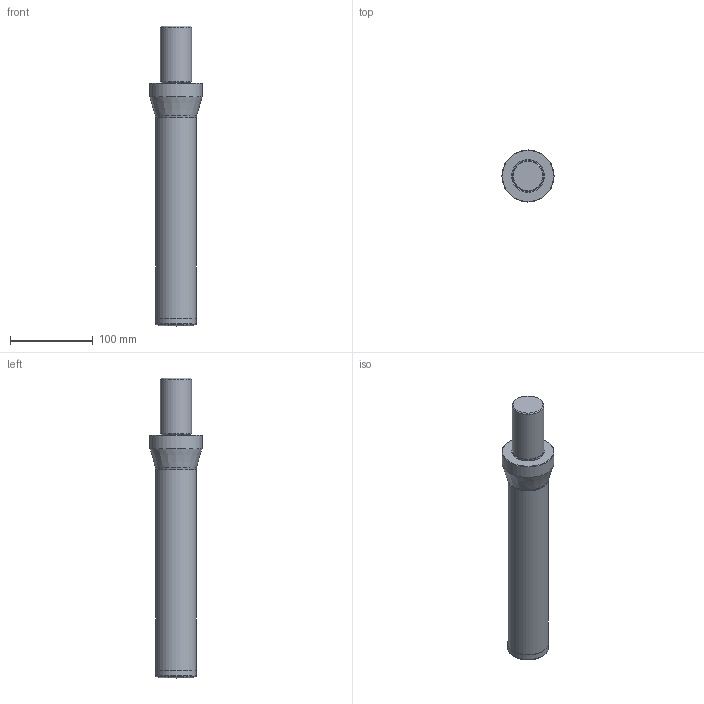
import cadquery as cq

total_length = 362.97
rod_projection = 69.5
housing_length = total_length - rod_projection

tube_radius = 24.5
head_radius = 31.5
head_height = 16.3
head_taper_height = 23.0
head_edge_chamfer = 0.5
collar_radius = 25.0
collar_height = 2.0
foot_radius = 24.8
foot_height = 9.5
foot_bevel_width = 0.5
foot_bevel_start = 1.8
foot_bevel_end = 2.8
crown_radius = 20.3
crown_height = 0.5
bore_depth = 30.0
mouth_radius = 20.0
mouth_depth = 1.0

rod_radius = 19.0
rod_chamfer = 1.25
neck_radius = rod_radius - rod_chamfer
neck_gap = 0.85

head_base = housing_length - head_height
collar_top = head_base - head_taper_height
collar_base = collar_top - collar_height
bore_floor = housing_length - bore_depth
rod_base = housing_length + neck_gap


def revolve_about_z(outline):
    """Turn a closed (radius, height) outline into a solid of revolution."""
    return cq.Workplane("XZ").polyline(outline).close().revolve(360, (0, 0, 0), (0, 1, 0))


def make_housing():
    outline = [
        (0, 0),
        (crown_radius, crown_height),
        (foot_radius - foot_bevel_width, foot_bevel_start),
        (foot_radius, foot_bevel_end),
        (foot_radius, foot_height),
        (tube_radius, foot_height),
        (tube_radius, collar_base),
        (collar_radius, collar_top),
        (head_radius, head_base),
        (head_radius, housing_length - head_edge_chamfer),
        (head_radius - head_edge_chamfer, housing_length),
        (mouth_radius, housing_length),
        (neck_radius, housing_length - mouth_depth),
        (neck_radius, bore_floor),
        (0, bore_floor),
    ]
    return revolve_about_z(outline)


def make_rod():
    outline = [
        (0, bore_floor),
        (neck_radius, bore_floor),
        (neck_radius, rod_base),
        (rod_radius, rod_base + rod_chamfer),
        (rod_radius, total_length - rod_chamfer),
        (rod_radius - rod_chamfer, total_length),
        (0, total_length),
    ]
    return revolve_about_z(outline)


housing = make_housing()
rod = make_rod()

result = cq.Compound.makeCompound([housing.val(), rod.val()])